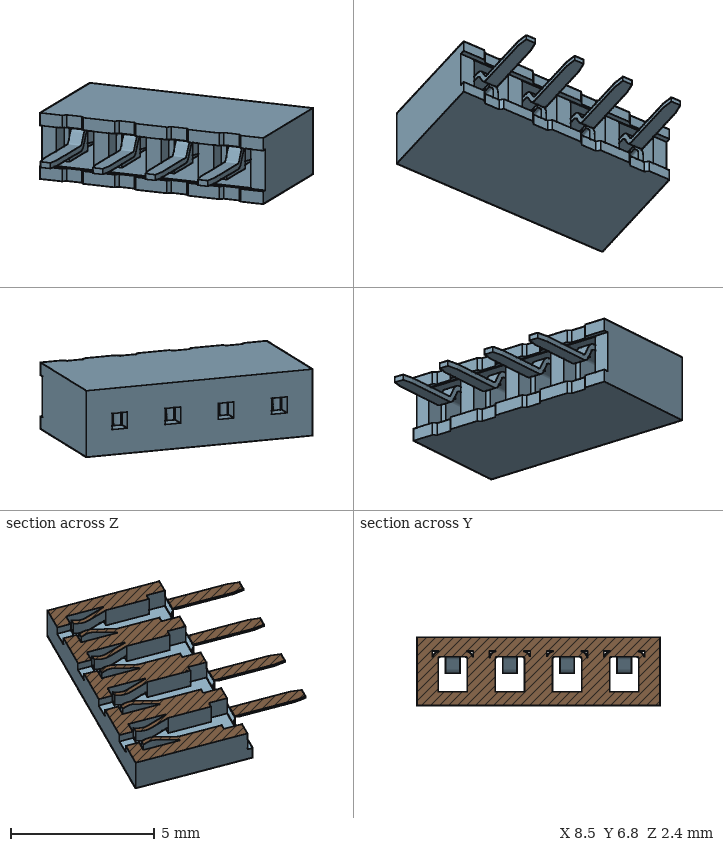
import cadquery as cq
import math

width = 8.5
overall_depth = 6.8
height = 2.4
housing_depth = 4.395
back_y = overall_depth / 2
front_y = back_y - housing_depth
tail_tip_y = -overall_depth / 2

contact_count = 4
pitch = 2.0

recess_depth = 0.19
recess_height = 1.48
recess_y = front_y + recess_depth
notch_mouth = 0.82
notch_floor = 0.58
notch_depth = 0.12

cavity_side = 1.42
back_wall = 0.51
opening_side = 0.58
cavity_end_y = back_y - back_wall

sheet = 0.2
channel_setback = 0.68
channel_length = 1.615
channel_outer_radius = 0.27
channel_inner_radius = channel_outer_radius - sheet
channel_y = recess_y + channel_setback
channel_end_y = channel_y + channel_length
ceiling_z = cavity_side / 2

relief_width = 0.09
relief_depth = 0.255

tail_width = 0.51
tail_top_z = 0.14
tail_tip_width = 0.37
tail_taper = 0.425
tail_slope = 60.0
lower_bend_setout = 0.03
lower_bend_radius = 0.085
upper_bend_radius = 0.17

beam_height = 0.88
beam_corner_gap = 0.29
throat_radius = 0.68
beam_flare = 0.13
beam_flare_length = 0.34
beam_end_clearance = 0.085
beam_end_y = cavity_end_y - beam_end_clearance


def block(size_x, size_z, start_y, end_y):
    """Block centred on X and Z, running from start_y to end_y."""
    return cq.Workplane("XY").box(size_x, end_y - start_y, size_z).translate((0, (start_y + end_y) / 2, 0))


def make_rim_notch():
    """Trapezoidal notch cut through both lips of the front rim."""
    return (
        cq.Workplane("XY")
        .moveTo(-notch_mouth / 2, front_y)
        .lineTo(notch_mouth / 2, front_y)
        .lineTo(notch_floor / 2, front_y + notch_depth)
        .lineTo(-notch_floor / 2, front_y + notch_depth)
        .close()
        .extrude(height / 2, both=True)
    )


def make_channel():
    """U channel, open downwards, lining the cavity sides and ceiling."""
    outer = block(cavity_side, cavity_side, channel_y, channel_end_y)
    outer = outer.edges("|Y and >Z").fillet(channel_outer_radius)
    inner = block(cavity_side - 2 * sheet, cavity_side, channel_y, channel_end_y)
    inner = inner.edges("|Y and >Z").fillet(channel_inner_radius).translate((0, 0, -sheet))
    channel = outer.cut(inner)
    for side in (-1, 1):
        slot_x = side * (tail_width + relief_width) / 2
        slot = cq.Workplane("XY").box(relief_width, relief_depth, sheet)
        channel = channel.cut(slot.translate((slot_x, channel_y + relief_depth / 2, ceiling_z - sheet / 2)))
    return channel


def make_tail():
    """Strip leaving the channel roof, bent down and out, with a tapered tip."""
    slope = math.radians(tail_slope)
    miter = sheet * math.tan(slope / 2)
    lower_y = recess_y - lower_bend_setout
    upper_y = lower_y + (ceiling_z - tail_top_z) / math.tan(slope)
    tail_bottom_z = tail_top_z - sheet
    roof_bottom_z = ceiling_z - sheet
    profile = [
        (tail_tip_y, tail_top_z),
        (lower_y, tail_top_z),
        (upper_y, ceiling_z),
        (channel_y, ceiling_z),
        (channel_y, roof_bottom_z),
        (upper_y + miter, roof_bottom_z),
        (lower_y + miter, tail_bottom_z),
        (tail_tip_y, tail_bottom_z),
    ]
    strip = cq.Workplane("YZ").polyline(profile).close().extrude(tail_width / 2, both=True)

    bends = [
        (lower_y, tail_top_z, lower_bend_radius),
        (lower_y + miter, tail_bottom_z, lower_bend_radius + sheet),
        (upper_y, ceiling_z, upper_bend_radius + sheet),
        (upper_y + miter, roof_bottom_z, upper_bend_radius),
    ]
    for corner_y, corner_z, radius in bends:
        corner_edge = cq.selectors.NearestToPointSelector((0, corner_y, corner_z))
        strip = strip.edges("|X").edges(corner_edge).fillet(radius)

    outline = (
        cq.Workplane("XY")
        .moveTo(-tail_tip_width / 2, tail_tip_y)
        .lineTo(tail_tip_width / 2, tail_tip_y)
        .lineTo(tail_width / 2, tail_tip_y + tail_taper)
        .lineTo(tail_width / 2, channel_y)
        .lineTo(-tail_width / 2, channel_y)
        .lineTo(-tail_width / 2, tail_tip_y + tail_taper)
        .close()
        .extrude(height / 2, both=True)
    )
    return strip.intersect(outline)


def make_beams():
    """Pair of springs closing in from the channel sides, flared at their ends."""
    root_x = cavity_side / 2 - sheet
    throat_x = beam_corner_gap / 2
    throat_y = beam_end_y - beam_flare_length
    right = (
        cq.Workplane("XY")
        .moveTo(root_x, channel_y)
        .lineTo(root_x, channel_end_y)
        .lineTo(throat_x, throat_y)
        .lineTo(throat_x + beam_flare, beam_end_y)
        .lineTo(throat_x + beam_flare + sheet, beam_end_y)
        .lineTo(throat_x + sheet, throat_y)
        .lineTo(root_x + sheet, channel_end_y)
        .lineTo(root_x + sheet, channel_y)
        .close()
        .extrude(beam_height / 2, both=True)
    )
    for corner_x, radius in ((throat_x, throat_radius), (throat_x + sheet, throat_radius - sheet)):
        corner_edge = cq.selectors.NearestToPointSelector((corner_x, throat_y, 0))
        right = right.edges("|Z").edges(corner_edge).fillet(radius)
    return right.union(right.mirror("YZ"))


housing = block(width, height, front_y, back_y)
housing = housing.cut(block(width, recess_height, front_y, recess_y))

rim_notch = make_rim_notch()
cavity = block(cavity_side, cavity_side, recess_y, cavity_end_y)
opening = block(opening_side, opening_side, cavity_end_y, back_y)
contact = make_channel().union(make_tail()).union(make_beams())

result = housing
for index in range(contact_count):
    position = ((index - (contact_count - 1) / 2) * pitch, 0, 0)
    for cutter in (rim_notch, cavity, opening):
        result = result.cut(cutter.translate(position))
    result = result.union(contact.translate(position))